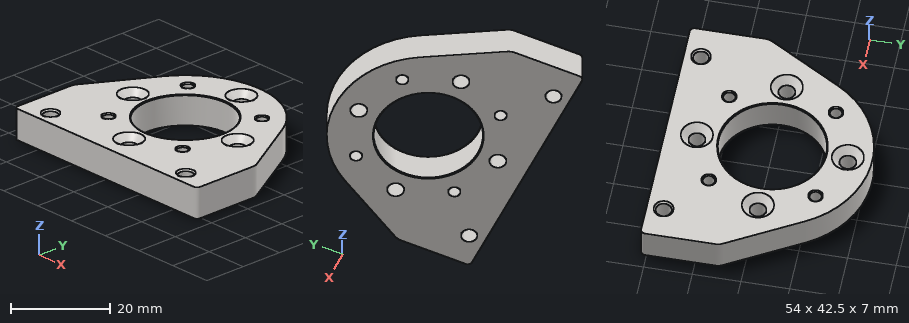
import cadquery as cq
import math

width = 54.0
thickness = 7.0
bore_center_y = 22.0
crown_radius = 20.5
flank_angle = 30.0
base_corner_radius = 1.0
shoulder_radius = 3.0

bore_diameter = 22.0
bore_chamfer = 0.2

bolt_circle_radius = 15.5
holes_per_set = 4
screw_hole_angle = 0.0
small_hole_angle = 45.0
screw_hole_diameter = 3.4
screw_sink_diameter = 6.5
small_hole_diameter = 2.46
small_sink_diameter = 3.0

base_hole_diameter = 3.24
base_sink_diameter = 4.0
base_hole_spacing = 40.0
base_hole_y = 3.5

sink_angle = 90.0


def bolt_circle_points(first_angle):
    """One set of evenly spaced points on the bolt circle, starting at first_angle degrees."""
    points = []
    for step in range(holes_per_set):
        angle = math.radians(first_angle + 360.0 / holes_per_set * step)
        x = bolt_circle_radius * math.cos(angle)
        y = bore_center_y + bolt_circle_radius * math.sin(angle)
        points.append((x, y))
    return points


def fillet_corners(plate, x, y, radius):
    """Round the upright edges at the mirrored corners (-x, y) and (x, y)."""
    for side in (-1, 1):
        corner = cq.selectors.NearestToPointSelector((side * x, y, thickness / 2))
        plate = plate.edges("|Z").edges(corner).fillet(radius)
    return plate


def make_plate():
    """Flat plate: straight base, upright sides, flanks tangent to a round crown."""
    half_width = width / 2
    angle = math.radians(flank_angle)
    tangent_x = crown_radius * math.cos(angle)
    tangent_y = bore_center_y + crown_radius * math.sin(angle)
    shoulder_y = tangent_y - (half_width - tangent_x) / math.tan(angle)

    plate = (
        cq.Workplane("XY")
        .moveTo(-half_width, 0)
        .lineTo(half_width, 0)
        .lineTo(half_width, shoulder_y)
        .lineTo(tangent_x, tangent_y)
        .threePointArc((0, bore_center_y + crown_radius), (-tangent_x, tangent_y))
        .lineTo(-half_width, shoulder_y)
        .close()
        .extrude(thickness)
    )
    plate = fillet_corners(plate, half_width, shoulder_y, shoulder_radius)
    return fillet_corners(plate, half_width, 0, base_corner_radius)


def cut_bore(plate):
    """Through bore with a small chamfer on both rims."""
    bored = plate.faces(">Z").workplane(origin=(0, bore_center_y, 0)).hole(bore_diameter)
    on_bore_axis = (0, bore_center_y, thickness / 2)
    bore_wall = bored.faces(cq.selectors.NearestToPointSelector(on_bore_axis))
    return bore_wall.edges("%CIRCLE").chamfer(bore_chamfer)


def cut_sunk_holes(plate, points, diameter, sink_diameter):
    """Through holes, countersunk from the top face."""
    top = plate.faces(">Z").workplane(origin=(0, 0, 0))
    return top.pushPoints(points).cskHole(diameter, sink_diameter, sink_angle)


screw_points = bolt_circle_points(screw_hole_angle)
small_points = bolt_circle_points(small_hole_angle)
base_hole_points = [(side * base_hole_spacing / 2, base_hole_y) for side in (-1, 1)]

result = cut_bore(make_plate())
result = cut_sunk_holes(result, screw_points, screw_hole_diameter, screw_sink_diameter)
result = cut_sunk_holes(result, small_points, small_hole_diameter, small_sink_diameter)
result = cut_sunk_holes(result, base_hole_points, base_hole_diameter, base_sink_diameter)